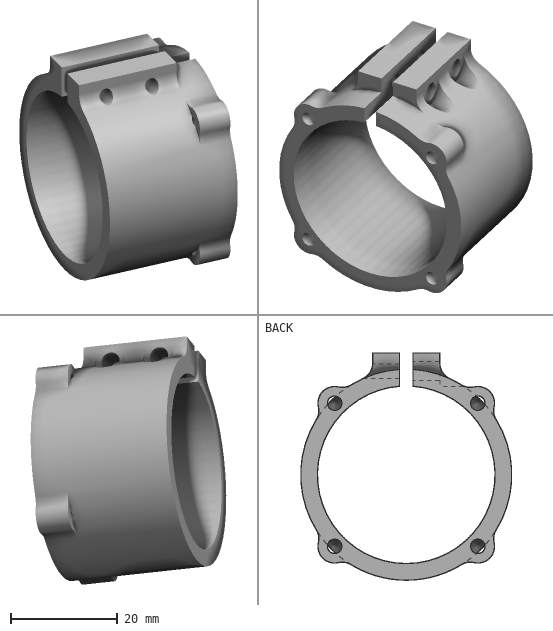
import cadquery as cq
import math


bore_radius = 16.7
wall = 3.175
ring_radius = bore_radius + wall
lug_length = 6.35
ear_length = 20.32
ring_length = ear_length + lug_length

slot_width = 2.54
ear_half_width = 6.35
ear_top = 22.935
blend_radius = 3.175

tap_diameter = 2.7
clearance_diameter = 3.57
head_pocket_radius = 2.93
screw_drop = 3.41
screw_z = ear_top - screw_drop
screw_spacing = 9.525
front_screw_y = 5.47
screw_ys = [front_screw_y, front_screw_y + screw_spacing]

lug_pitch_radius = 19.05
lug_radius = 3.175
lug_angles = [45, 135, 225, 315]
drill_point_angle = 118


def polar(radius, degrees):
    """X and Z of the point at this radius and angle; 0 degrees is +X and 90 degrees is +Z."""
    angle = math.radians(degrees)
    return (radius * math.cos(angle), radius * math.sin(angle))


def cylinder_y(center, radius, y_start, length):
    x, z = center
    return cq.Workplane("XZ", origin=(x, y_start, z)).circle(radius).extrude(-length)


def cylinder_x(y, z, radius, x_start, length):
    return cq.Workplane("YZ", origin=(x_start, y, z)).circle(radius).extrude(length)


def make_ears():
    """Block above the ring whose sides flow into the ring through concave blends."""
    blend_x = ear_half_width + blend_radius
    blend_z = math.sqrt((ring_radius + blend_radius) ** 2 - blend_x**2)
    contact_scale = ring_radius / (ring_radius + blend_radius)
    contact_x = blend_x * contact_scale
    contact_z = blend_z * contact_scale
    contact_angle = math.degrees(math.atan2(blend_z, blend_x))
    mid_dx, mid_dz = polar(blend_radius, 180 + contact_angle / 2)
    mid_x = blend_x + mid_dx
    mid_z = blend_z + mid_dz
    return (
        cq.Workplane("XZ")
        .moveTo(-contact_x, 0)
        .lineTo(-contact_x, contact_z)
        .threePointArc((-mid_x, mid_z), (-ear_half_width, blend_z))
        .lineTo(-ear_half_width, ear_top)
        .lineTo(ear_half_width, ear_top)
        .lineTo(ear_half_width, blend_z)
        .threePointArc((mid_x, mid_z), (contact_x, contact_z))
        .lineTo(contact_x, 0)
        .close()
        .extrude(-ear_length)
    )


def make_lug(angle):
    """Round lug with concave blends on both sides, tangent to the lug and to the ring."""
    blend_pitch = ring_radius + blend_radius
    reach = lug_radius + blend_radius
    spread_cosine = (blend_pitch**2 + lug_pitch_radius**2 - reach**2) / (2 * blend_pitch * lug_pitch_radius)
    spread = math.degrees(math.acos(spread_cosine))
    center = polar(lug_pitch_radius, angle)
    blend_centers = [polar(blend_pitch, angle - spread), polar(blend_pitch, angle + spread)]
    web = (
        cq.Workplane("XZ", origin=(0, ear_length, 0))
        .polyline([(0, 0), blend_centers[0], center, blend_centers[1]])
        .close()
        .extrude(-lug_length)
    )
    for blend_center in blend_centers:
        web = web.cut(cylinder_y(blend_center, blend_radius, ear_length, lug_length))
    return web.union(cylinder_y(center, lug_radius, ear_length, lug_length))


def make_lug_hole(angle):
    """Hole drilled from the back face to the lug's front face, ending in a drill point."""
    x, z = polar(lug_pitch_radius, angle)
    radius = tap_diameter / 2
    point_length = radius / math.tan(math.radians(drill_point_angle / 2))
    return (
        cq.Workplane("XY", origin=(x, 0, z))
        .moveTo(0, ear_length - point_length)
        .lineTo(radius, ear_length)
        .lineTo(radius, ring_length)
        .lineTo(0, ring_length)
        .close()
        .revolve(360, (0, 0, 0), (0, 1, 0))
    )


def make_screw_cut(y):
    """Tapped hole in the +X ear, clearance hole and open-topped head pocket in the -X ear."""
    tapped = cylinder_x(y, screw_z, tap_diameter / 2, 0, ring_radius)
    clearance = cylinder_x(y, screw_z, clearance_diameter / 2, -ring_radius, ring_radius)
    pocket_depth = ring_radius - ear_half_width
    pocket_round = cylinder_x(y, screw_z, head_pocket_radius, -ring_radius, pocket_depth)
    pocket_mouth = cq.Workplane("XY", origin=(-ring_radius, y, screw_z)).box(
        pocket_depth, 2 * head_pocket_radius, ear_top - screw_z, centered=(False, True, False)
    )
    return tapped.union(clearance).union(pocket_round).union(pocket_mouth)


body = cylinder_y((0, 0), ring_radius, 0, ring_length).union(make_ears())
for lug_angle in lug_angles:
    body = body.union(make_lug(lug_angle))

body = body.cut(cylinder_y((0, 0), bore_radius, 0, ring_length))
slot = cq.Workplane("XY").box(slot_width, ring_length, ear_top, centered=(True, False, False))
body = body.cut(slot)

for screw_y in screw_ys:
    body = body.cut(make_screw_cut(screw_y))
for lug_angle in lug_angles:
    body = body.cut(make_lug_hole(lug_angle))

result = body